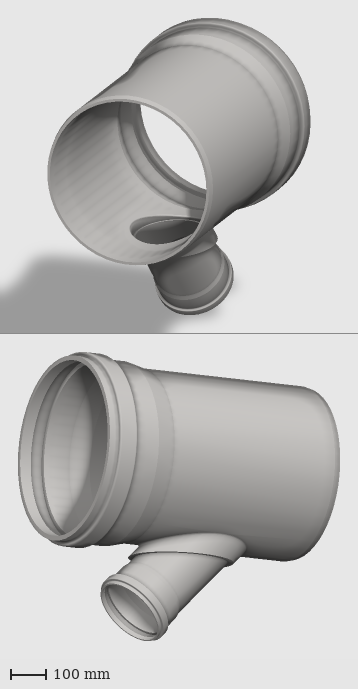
import cadquery as cq

main_length = 762.0
main_outer_d = 500.0
main_bore_d = 474.0
main_socket_outer_d = 528.0
main_socket_bore_d = 502.0
main_ring_outer_d = 555.0
main_groove_d = 529.0
main_ring_start = 28.0
main_ring_end = 84.0
main_taper_start = 160.0
main_taper_end = 219.0
main_ring_round = 5.0
spigot_taper_length = 19.0
spigot_taper_depth = 5.0

branch_angle = 45
branch_axis_y = 93.5
branch_length = 642.0
branch_outer_d = 200.5
branch_bore_d = 189.0
branch_socket_outer_d = 209
branch_socket_bore_d = branch_outer_d
branch_ring_outer_d = 225.5
branch_groove_d = 217.0
branch_ring_start = 11.0
branch_ring_end = 35.0
branch_taper_start = 87.0
branch_taper_end = 103.0
branch_ring_round = 2.0
branch_top_z = -main_outer_d / 2

collar_outer_d = 226.0
collar_bottom_z = -287.0
opening_band_top_z = -201
collar_root_round = 4.0
branch_hole_round = 3.0


def revolved(points):
    """Turn an outline of (radius, height) points about the Z axis."""
    return cq.Workplane("XZ").polyline(points).close().revolve(360, (0, 0), (0, 1))


def socket_outline(length, pipe_d, socket_d, ring_d, ring_start, ring_end, taper_start, taper_end):
    """One side of a socketed wall, from the plain end at height 0 to the mouth."""
    return [
        (pipe_d / 2, 0),
        (pipe_d / 2, length - taper_end),
        (socket_d / 2, length - taper_start),
        (socket_d / 2, length - ring_end),
        (ring_d / 2, length - ring_end),
        (ring_d / 2, length - ring_start),
        (socket_d / 2, length - ring_start),
        (socket_d / 2, length),
    ]


def solid_of_outline(outline, length):
    """Fill an outline in to its axis."""
    return revolved([(0, 0)] + outline + [(0, length)])


def ring_edges(body, length, ring_start, ring_end):
    """The four circles at the root and crest of the seal ring."""
    margin = 1.0
    reach = 8053.5
    band = cq.selectors.BoxSelector(
        (-reach, -reach, length - ring_end - margin),
        (reach, reach, length - ring_start + margin),
    )
    return body.edges("%CIRCLE").edges(band)


def along_main(body):
    """Lay a body built along Z onto the main axis."""
    return body.rotate((0, 0, 0), (1, 0, 0), -90)


def along_branch(body):
    """Lean a body built along Z onto the downward branch axis."""
    return body.rotate((0, 0, 0), (1, 0, 0), -90 - branch_angle).translate((0, branch_axis_y, 0))


def block_above(z):
    """A block that covers everything above height z."""
    size = 4 * main_length
    return cq.Workplane("XY").workplane(offset=z).rect(size, size).extrude(size)


def make_main_skin():
    """Filled outside shape of the main pipe."""
    outline = socket_outline(
        main_length, main_outer_d, main_socket_outer_d, main_ring_outer_d,
        main_ring_start, main_ring_end, main_taper_start, main_taper_end,
    )
    spigot = [
        (main_outer_d / 2 - spigot_taper_depth, 0),
        (main_outer_d / 2, spigot_taper_length),
    ]
    skin = solid_of_outline(spigot + outline[1:], main_length)
    skin = ring_edges(skin, main_length, main_ring_start, main_ring_end).fillet(main_ring_round)
    return along_main(skin)


def make_main_cavity():
    """Bore, socket and seal groove of the main pipe."""
    wall = (main_ring_outer_d - main_groove_d) / 2
    outline = socket_outline(
        main_length, main_bore_d, main_socket_bore_d, main_groove_d,
        main_ring_start + wall / 2, main_ring_end - wall / 2, main_taper_start, main_taper_end,
    )
    return along_main(solid_of_outline(outline, main_length))


def make_collar():
    """Slanted cylinder that ends on a horizontal plane below the pipe."""
    collar = cq.Workplane("XY").circle(collar_outer_d / 2).extrude(branch_length)
    return along_branch(collar).intersect(block_above(collar_bottom_z))


def edges_reaching(body, lowest, highest):
    """Edges whose own lowest and highest heights fall within the given range."""
    def is_inside(edge):
        box = edge.BoundingBox()
        return box.zmin > lowest and box.zmax < highest

    return body.edges().filter(is_inside)


def make_main_pipe():
    """Socketed pipe with its collar, the collar root and the branch opening both rounded."""
    margin = 1.0
    skin = make_main_skin().union(make_collar())
    root_bottom_z = -main_outer_d / 2 - margin
    skin = edges_reaching(skin, root_bottom_z, opening_band_top_z).fillet(collar_root_round)
    branch_hole = along_branch(cq.Workplane("XY").circle(branch_outer_d / 2).extrude(branch_length))
    pipe = skin.cut(make_main_cavity()).cut(branch_hole)
    opening_bottom_z = -main_bore_d / 2 - margin
    return edges_reaching(pipe, opening_bottom_z, opening_band_top_z).fillet(branch_hole_round)


def make_branch_pipe():
    """Socketed pipe seated in the collar, its top cut level with the underside of the main pipe."""
    outer = socket_outline(
        branch_length, branch_outer_d, branch_socket_outer_d, branch_ring_outer_d,
        branch_ring_start, branch_ring_end, branch_taper_start, branch_taper_end,
    )
    wall = (branch_ring_outer_d - branch_groove_d) / 2
    inner = socket_outline(
        branch_length, branch_bore_d, branch_socket_bore_d, branch_groove_d,
        branch_ring_start + wall / 2, branch_ring_end - wall / 2, branch_taper_start, branch_taper_end,
    )
    skin = solid_of_outline(outer, branch_length)
    skin = ring_edges(skin, branch_length, branch_ring_start, branch_ring_end).fillet(branch_ring_round)
    pipe = skin.cut(solid_of_outline(inner, branch_length))
    return along_branch(pipe).cut(block_above(branch_top_z))


main_pipe = make_main_pipe()
branch_pipe = make_branch_pipe()

result = cq.Compound.makeCompound([main_pipe.val(), branch_pipe.val()])